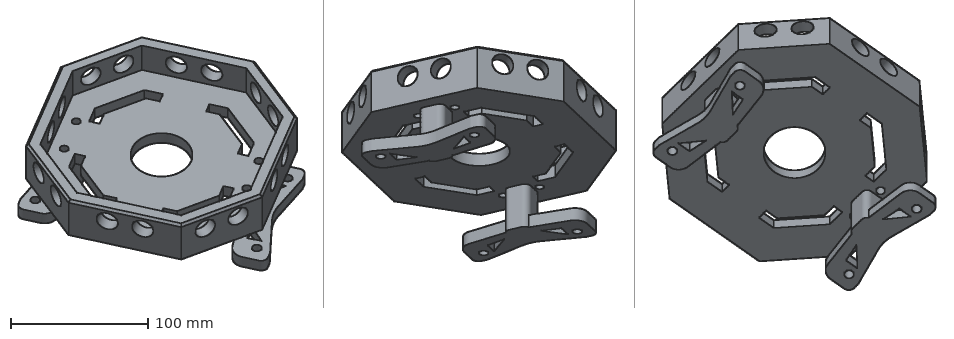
import cadquery as cq

tray_width = 180.0
tray_flat_half = 43.0
tray_height = 35.0
rim_chamfer = 1.9
pocket_width = 160.0
pocket_flat_half = 39.7
floor_thickness = 10.0
center_hole_diameter = 45.0

wall_count = 8
window_diameter = 16.2
window_spacing = 27.0
window_drop = 12.2

slot_outer = 60.6
slot_width = 8.0
slot_inner = slot_outer - slot_width
slot_end = 17.7
slot_outer_bend = 31.7
slot_inner_bend = 28.1

floor_hole_diameter = 6.5
floor_hole_x = 69.5
floor_hole_y = 14.8

post_width = 20.0
post_fillet = 5.0
post_x = 70.0
post_height = 35.0

foot_thickness = 10.0
foot_bottom = -post_height
foot_half_length = 50.0
foot_outer_x = 95.0
foot_end_inner_x = 67.8
foot_side_flat_y = 40.0
foot_waist_outer_x = 84.4
foot_waist_inner_x = 61.5
foot_outer_fillet = 5.1
foot_inner_fillet = 10.0
foot_waist_fillet = 30.0

foot_hole_diameter = 7.0
foot_hole_x = 84.4
foot_hole_y = 38.0
triangle_tip_x = 71.6
triangle_tip_y = 15.0
triangle_base_y = 30.0
triangle_base_inner_x = 74.7
triangle_base_outer_x = 85.5


def prism(points, bottom, height):
    """Upright prism over a closed polygon."""
    return cq.Workplane("XY").workplane(offset=bottom).polyline(points).close().extrude(height)


def round_holes(x_places, y_places, diameter, bottom, height):
    """Upright cylinders at every pairing of the given X and Y places."""
    centers = [(x, y) for x in x_places for y in y_places]
    plane = cq.Workplane("XY").workplane(offset=bottom)
    return plane.pushPoints(centers).circle(diameter / 2).extrude(height)


def turned(body, angle):
    """Body turned about the Z axis."""
    return body.rotate((0, 0, 0), (0, 0, 1), angle)


def octagon(width, flat_half, bottom, height):
    """Octagonal prism whose flats facing X and Y have a chosen half length."""
    half = width / 2
    upper = [(half, flat_half), (flat_half, half), (-flat_half, half), (-half, flat_half)]
    lower = [(-x, -y) for x, y in upper]
    return prism(upper + lower, bottom, height)


def window_pair(angle):
    """Two radial cylinders that pierce the wall facing the given angle."""
    window_z = tray_height - window_drop
    centers = [(side * window_spacing / 2, window_z) for side in (-1, 1)]
    cylinders = cq.Workplane("YZ").pushPoints(centers).circle(window_diameter / 2).extrude(tray_width)
    return turned(cylinders, angle)


def bent_slot(angle):
    """Floor slot symmetric about the diagonal, turned from the +X +Y quarter."""
    arm = [
        (slot_inner, slot_inner_bend),
        (slot_inner, slot_end),
        (slot_outer, slot_end),
        (slot_outer, slot_outer_bend),
    ]
    mirrored_arm = [(y, x) for x, y in reversed(arm)]
    return turned(prism(arm + mirrored_arm, 0, floor_thickness), angle)


def make_tray():
    """Open octagonal tray with its wall windows and floor openings."""
    tray = octagon(tray_width, tray_flat_half, 0, tray_height).faces(">Z").chamfer(rim_chamfer)
    tray = tray.cut(octagon(pocket_width, pocket_flat_half, floor_thickness, tray_height))
    for wall in range(wall_count):
        tray = tray.cut(window_pair(wall * 360 / wall_count))
    for quarter in range(4):
        tray = tray.cut(bent_slot(quarter * 90))
    tray = tray.cut(round_holes([0], [0], center_hole_diameter, 0, floor_thickness))
    floor_hole_xs = [-floor_hole_x, floor_hole_x]
    floor_hole_ys = [-floor_hole_y, floor_hole_y]
    return tray.cut(round_holes(floor_hole_xs, floor_hole_ys, floor_hole_diameter, 0, floor_thickness))


def fillet_upright_edge(body, x, y, radius):
    """Round the upright edge of the foot that stands at (x, y)."""
    edge_middle = (x, y, foot_bottom + foot_thickness / 2)
    return body.edges(cq.selectors.NearestToPointSelector(edge_middle)).fillet(radius)


def make_foot():
    """Waisted foot on the +X side with its holes and triangular windows."""
    lobe = [
        (foot_outer_x, foot_side_flat_y),
        (foot_outer_x, foot_half_length),
        (foot_end_inner_x, foot_half_length),
    ]
    mirrored_lobe = [(x, -y) for x, y in reversed(lobe)]
    outline = [(foot_waist_outer_x, 0)] + lobe + [(foot_waist_inner_x, 0)] + mirrored_lobe
    foot = prism(outline, foot_bottom, foot_thickness)

    foot = fillet_upright_edge(foot, foot_waist_outer_x, 0, foot_waist_fillet)
    for side in (-1, 1):
        end_y = side * foot_half_length
        foot = fillet_upright_edge(foot, foot_outer_x, end_y, foot_outer_fillet)
        foot = fillet_upright_edge(foot, foot_end_inner_x, end_y, foot_inner_fillet)

        triangle = [
            (triangle_tip_x, side * triangle_tip_y),
            (triangle_base_inner_x, side * triangle_base_y),
            (triangle_base_outer_x, side * triangle_base_y),
        ]
        foot = foot.cut(prism(triangle, foot_bottom, foot_thickness))

    hole_ys = [-foot_hole_y, foot_hole_y]
    return foot.cut(round_holes([foot_hole_x], hole_ys, foot_hole_diameter, foot_bottom, foot_thickness))


def make_post():
    """Rounded square post on the +X side, from the foot's underside to the tray."""
    plane = cq.Workplane("XY").workplane(offset=foot_bottom).center(post_x, 0)
    return plane.rect(post_width, post_width).extrude(post_height).edges("|Z").fillet(post_fillet)


leg = make_foot().union(make_post())
result = make_tray().union(leg).union(leg.mirror("YZ"))